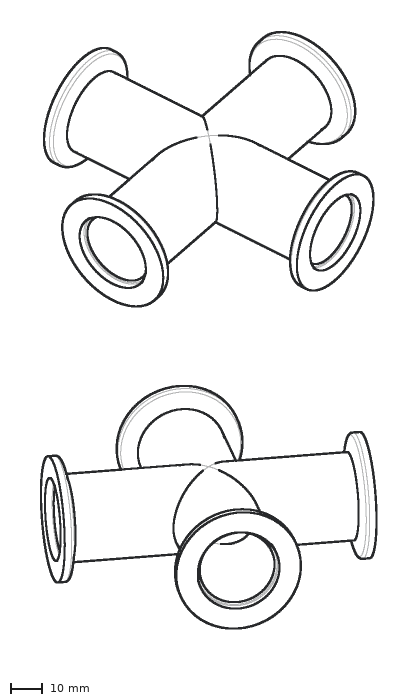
import cadquery as cq
import math

span = 100.0
half_span = span / 2

pipe_radius = 14.0
bore_radius = 12.0

flange_radius = 20.0
flange_thickness = 4.6
cone_angle = 15.0
edge_round = 1.0

recess_radius = 13.1
recess_depth = 2.6
recess_corner_round = 0.3

arm_angles = (0, 90, 180, 270)


def arm_body():
    """Pipe and flange along +X, revolved without its bore."""
    cone_start = half_span - flange_thickness
    cone_rise = flange_radius - pipe_radius
    cone_rim = cone_start + cone_rise * math.tan(math.radians(cone_angle))
    profile = (
        cq.Workplane("XY")
        .polyline([
            (0, 0),
            (half_span, 0),
            (half_span, flange_radius),
            (cone_rim, flange_radius),
            (cone_start, pipe_radius),
            (0, pipe_radius),
        ])
        .close()
    )
    body = profile.revolve(360, (0, 0, 0), (1, 0, 0))
    rim_back_edge = cq.selectors.NearestToPointSelector((cone_rim, 0, 0))
    return body.edges("%CIRCLE").edges(rim_back_edge).fillet(edge_round)


def arm_cavity():
    """Bore and end recess along +X."""
    bore = cq.Workplane("YZ").circle(bore_radius).extrude(half_span)
    recess = (
        cq.Workplane("YZ", origin=(half_span - recess_depth, 0, 0))
        .circle(recess_radius)
        .extrude(recess_depth)
        .faces("<X")
        .edges()
        .fillet(recess_corner_round)
    )
    return bore.union(recess)


def around_z(arm):
    """Join copies of an arm at every branch direction."""
    cross = cq.Workplane("XY")
    for angle in arm_angles:
        cross = cross.union(arm.rotate((0, 0, 0), (0, 0, 1), angle))
    return cross


result = around_z(arm_body()).cut(around_z(arm_cavity()))